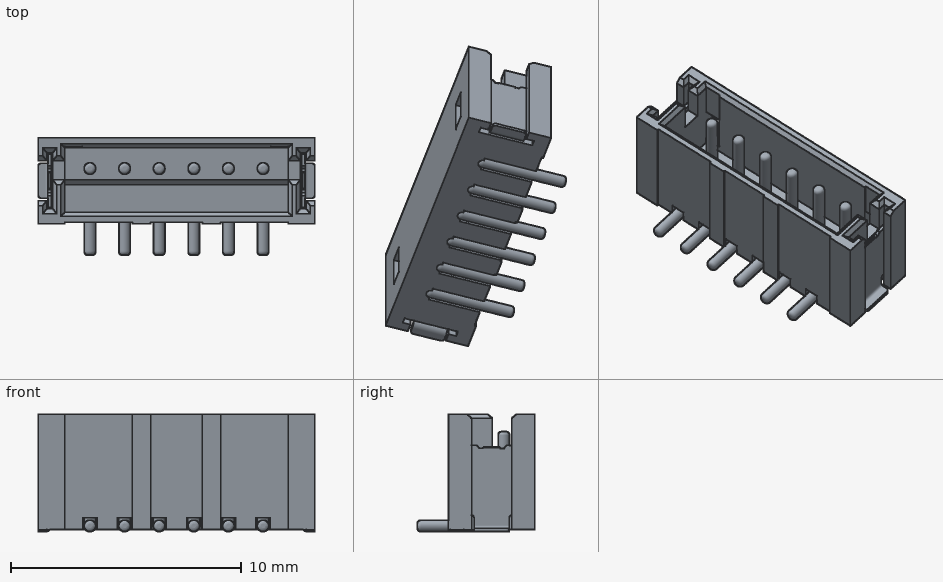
import cadquery as cq

length = 12.0
depth = 3.75
height = 5.0
half_length = length / 2
mid_depth = depth / 2
bottom_drop = 0.1
overcut = 0.12

front_wall = 0.5
back_wall = 0.45
side_wall = 1.16
front_floor = 1.0
floor_step = 0.22
rear_floor = front_floor + floor_step
lead_in = 0.18
end_lead_in = 0.22
cavity_half = half_length - side_wall
cavity_back = depth - back_wall

panel_depth = 0.07
center_panel = 2.23
rib_width = 0.79

window_width = 0.75
window_sill = 1.5
window_top = 3.2
groove_depth = 0.05

pocket_outer = 0.38
pocket_inner = 0.64
pocket_span = 2.42
opening_span = 1.73
opening_back = mid_depth + opening_span / 2
slot_front = 1.91
slot_floor = 3.5

plate_thickness = 0.15
plate_shoulder = 0.62
leg_width = 1.52
plate_top = 3.65
dip_z = 3.52
tongue_z = 3.59
dip_start = 0.65
dip_outer = 0.53
dip_inner = 0.4
tongue_half = 0.34
tongue_chamfer = 0.04
corner_chamfer = 0.07
leg_fillet = 0.12
bend_radius = 0.12
foot_corner = 0.15

pin_count = 6
pin_pitch = 1.5
pin_diameter = 0.5
pin_radius = pin_diameter / 2
pin_y = 2.4
pin_top = 4.25
pin_reach = 1.35
pin_tip_round = 0.15
pin_z = pin_radius - bottom_drop
tunnel_width = 0.62
tunnel_height = 0.5


def block(x0, x1, y0, y1, z0, z1):
    """Box given by its limits along each axis."""
    size = (x1 - x0, y1 - y0, z1 - z0)
    return cq.Workplane("XY").box(*size, centered=False).translate((x0, y0, z0))


def opening(x0, x1, y0, y1, floor, reach_x=lead_in, reach_y=end_lead_in):
    """Opening from the top face down to a floor, flared at the rim by the lead-in."""
    flare = (
        cq.Workplane("XY", origin=((x0 + x1) / 2, (y0 + y1) / 2, height - lead_in))
        .rect(x1 - x0, y1 - y0)
        .workplane(offset=lead_in)
        .rect(x1 - x0 + 2 * reach_x, y1 - y0 + 2 * reach_y)
        .loft(ruled=True)
    )
    return block(x0, x1, y0, y1, floor, height).union(flare)


def both_ends(left):
    """A shape at the -X end together with its mirror image at the +X end."""
    return left.union(left.mirror("YZ"))


def cavity():
    space = opening(-cavity_half, cavity_half, front_wall, cavity_back, front_floor, reach_y=lead_in)
    raised_floor = (
        cq.Workplane("YZ", origin=(-cavity_half, 0, 0))
        .moveTo(slot_front - floor_step, front_floor)
        .lineTo(slot_front, rear_floor)
        .lineTo(cavity_back, rear_floor)
        .lineTo(cavity_back, front_floor)
        .close()
        .extrude(2 * cavity_half)
    )
    return space.cut(raised_floor)


def front_panels():
    center = block(-center_panel / 2, center_panel / 2, -overcut, panel_depth, -overcut, height + overcut)
    outer_start = center_panel / 2 + rib_width
    outer = block(-cavity_half, -outer_start, -overcut, panel_depth, -overcut, height + overcut)
    return center.union(both_ends(outer))


def back_windows():
    left, right = -cavity_half, window_width - cavity_half
    window = block(left, right, cavity_back - overcut, depth + overcut, window_sill, window_top)
    groove = block(left, right, cavity_back - overcut, cavity_back + groove_depth, window_top, height)
    return both_ends(window.union(groove))


def end_openings():
    outside = -half_length - overcut
    outer_face = -half_length + pocket_outer
    inner_face = -half_length + pocket_inner
    opening_front = mid_depth - opening_span / 2
    pocket_front = mid_depth - pocket_span / 2
    pocket_back = mid_depth + pocket_span / 2
    pocket = opening(outer_face, inner_face, pocket_front, pocket_back, -overcut)
    outer_gap = opening(outside, outer_face, opening_front, opening_back, -overcut, reach_x=0)
    slot = opening(inner_face, -cavity_half, slot_front, opening_back, slot_floor, reach_x=0)
    return both_ends(pocket.union(outer_gap).union(slot))


def pin_positions():
    first = -pin_pitch * (pin_count - 1) / 2
    return [first + i * pin_pitch for i in range(pin_count)]


def pin_tunnel(x):
    return block(x - tunnel_width / 2, x + tunnel_width / 2, -overcut, pin_y, -overcut, tunnel_height)


def pin(x):
    """Right-angle pin with rounded tips and a ball-shaped elbow."""
    upright = (
        cq.Workplane("XY", origin=(x, pin_y, pin_z))
        .circle(pin_radius)
        .extrude(pin_top - pin_z)
        .faces(">Z").edges().fillet(pin_tip_round)
    )
    tail = (
        cq.Workplane("XZ", origin=(x, pin_y, pin_z))
        .circle(pin_radius)
        .extrude(pin_y + pin_reach)
        .faces("<Y").edges().fillet(pin_tip_round)
    )
    elbow = cq.Workplane("XY").sphere(pin_radius).translate((x, pin_y, pin_z))
    return upright.union(tail).union(elbow)


def plate():
    """Plate at the -X end: a shaped top edge, shoulders, and a leg bent outward into a solder foot."""
    outer_x = -half_length + (pocket_outer + pocket_inner - plate_thickness) / 2
    inner_x = outer_x + plate_thickness
    half_span = pocket_span / 2
    half_leg = leg_width / 2
    foot_top = plate_thickness - bottom_drop
    bend_z = foot_top + bend_radius
    half_outline = [
        (tongue_half, tongue_z), (dip_inner, dip_z), (dip_outer, dip_z), (dip_start, plate_top),
        (half_span - corner_chamfer, plate_top), (half_span, plate_top - corner_chamfer),
        (half_span, plate_shoulder), (half_leg, plate_shoulder), (half_leg, bend_z),
    ]
    mirrored = [(-y, z) for y, z in reversed(half_outline)]
    at_shoulder = cq.selectors.BoxSelector(
        (outer_x - overcut, -half_leg - overcut, plate_shoulder - overcut),
        (inner_x + overcut, half_leg + overcut, plate_shoulder + overcut),
    )
    at_tongue = cq.selectors.BoxSelector(
        (outer_x - overcut, -tongue_half, tongue_z - tongue_chamfer),
        (inner_x + overcut, tongue_half, tongue_z + tongue_chamfer),
    )
    upright = (
        cq.Workplane("YZ", origin=(outer_x, 0, 0))
        .polyline(half_outline + mirrored)
        .close()
        .extrude(plate_thickness)
        .edges("|X").edges(at_shoulder).fillet(leg_fillet)
        .edges("|Y").edges(at_tongue).chamfer(tongue_chamfer)
    )
    bend_x = outer_x - bend_radius
    outer_radius = bend_radius + plate_thickness
    foot = (
        cq.Workplane("XZ")
        .moveTo(-half_length, -bottom_drop)
        .lineTo(bend_x, -bottom_drop)
        .radiusArc((inner_x, bend_z), -outer_radius)
        .lineTo(outer_x, bend_z)
        .radiusArc((bend_x, foot_top), bend_radius)
        .lineTo(-half_length, foot_top)
        .close()
        .extrude(half_leg, both=True)
        .faces("<X").edges("|Z").fillet(foot_corner)
    )
    return upright.union(foot).translate((0, mid_depth, 0))


housing = block(-half_length, half_length, 0, depth, 0, height)
housing = housing.cut(cavity()).cut(front_panels()).cut(back_windows()).cut(end_openings())
for pin_x in pin_positions():
    housing = housing.cut(pin_tunnel(pin_x)).union(pin(pin_x))

result = housing.union(both_ends(plate()))